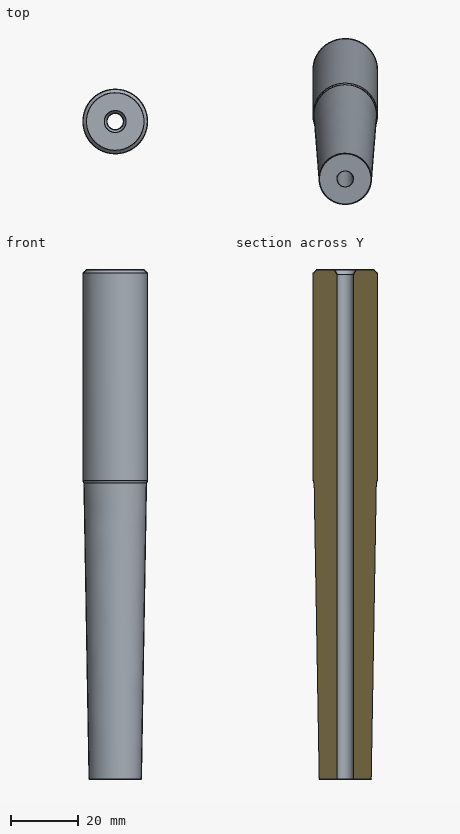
import cadquery as cq

length = 150.0
shank_diameter = 19.0
shank_length = 62.1
shank_chamfer = 1.0

step_height = 0.8
body_top_diameter = 18.5
body_bottom_diameter = 15.5
tip_chamfer = 0.2

bore_diameter = 4.8
mouth_diameter = 6.5
mouth_depth = 1.4

shank_radius = shank_diameter / 2
body_top_radius = body_top_diameter / 2
body_bottom_radius = body_bottom_diameter / 2
shank_bottom = length - shank_length


def turned_body():
    """Revolve the shank and the tapered body about Z, tip at Z = 0."""
    profile = (
        cq.Workplane("XZ")
        .moveTo(0, 0)
        .lineTo(body_bottom_radius - tip_chamfer, 0)
        .lineTo(body_bottom_radius, tip_chamfer)
        .lineTo(body_top_radius, shank_bottom - step_height)
        .lineTo(shank_radius, shank_bottom)
        .lineTo(shank_radius, length - shank_chamfer)
        .lineTo(shank_radius - shank_chamfer, length)
        .lineTo(0, length)
        .close()
    )
    return profile.revolve(360, (0, 0, 0), (0, 1, 0))


def bore():
    """Cutter for the through bore and its conical mouth."""
    profile = (
        cq.Workplane("XZ")
        .moveTo(0, 0)
        .lineTo(bore_diameter / 2, 0)
        .lineTo(bore_diameter / 2, length - mouth_depth)
        .lineTo(mouth_diameter / 2, length)
        .lineTo(0, length)
        .close()
    )
    return profile.revolve(360, (0, 0, 0), (0, 1, 0))


result = turned_body().cut(bore())